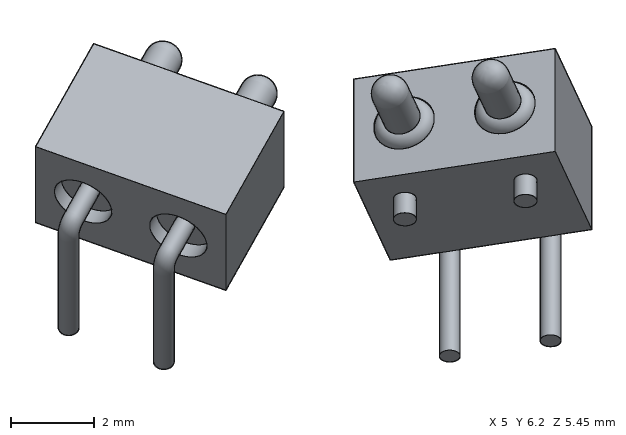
import cadquery as cq

contact_pitch = 2.5
housing_width = 2 * contact_pitch
housing_height = 3.0
housing_depth = 3.405
housing_front = 1.1
housing_back = housing_front + housing_depth
housing_bottom = -housing_height / 2

peg_diameter = 0.55
peg_length = 0.595
peg_pitch = 2.99
peg_y = 3.5

barrel_diameter = 1.5
barrel_recess = 0.4
barrel_protrusion = 0.2
barrel_rounding = 0.3
plunger_diameter = 0.905
plunger_tip_y = 6.2
plunger_rounding = 0.4
tail_diameter = 0.5
tail_radius = tail_diameter / 2
tail_inner_bend_radius = 0.003
tail_bend_radius = tail_radius + tail_inner_bend_radius
tail_bottom = -3.95

contact_positions = [-contact_pitch / 2, contact_pitch / 2]
peg_positions = [-peg_pitch / 2, peg_pitch / 2]


def rod_along_y(x, diameter, start, end):
    """Round bar on a contact axis, running in +Y from start to end."""
    plane = cq.Plane(origin=(x, start, 0), xDir=(1, 0, 0), normal=(0, 1, 0))
    return cq.Workplane(plane).circle(diameter / 2).extrude(end - start)


def make_housing():
    """Block with two through bores and two locating pegs."""
    body = cq.Workplane("XY").box(
        housing_width, housing_depth, housing_height, centered=(True, False, True)
    ).translate((0, housing_front, 0))
    for x in contact_positions:
        body = body.cut(rod_along_y(x, barrel_diameter, housing_front, housing_back))
    pegs = (
        cq.Workplane("XY", origin=(0, peg_y, housing_bottom))
        .pushPoints([(x, 0) for x in peg_positions])
        .circle(peg_diameter / 2)
        .extrude(-peg_length)
    )
    return body.union(pegs)


def make_tail(x, root_y):
    """Wire that leaves the barrel, turns down with an almost sharp inner corner and ends below."""
    bend_y = tail_radius + tail_bend_radius
    profile_plane = cq.Plane(origin=(x, tail_radius, tail_bottom), xDir=(1, 0, 0), normal=(0, 0, 1))
    path_plane = cq.Plane(origin=(x, 0, 0), xDir=(0, 1, 0), normal=(1, 0, 0))
    path = (
        cq.Workplane(path_plane)
        .moveTo(tail_radius, tail_bottom)
        .lineTo(tail_radius, -tail_bend_radius)
        .tangentArcPoint((bend_y, 0), relative=False)
        .lineTo(root_y, 0)
    )
    return cq.Workplane(profile_plane).circle(tail_radius).sweep(path)


def make_contact(x):
    """Barrel, plunger and bent tail as one solid."""
    barrel_front = housing_front + barrel_recess
    barrel_back = housing_back + barrel_protrusion
    barrel = rod_along_y(x, barrel_diameter, barrel_front, barrel_back)
    barrel = barrel.faces(">Y").edges().fillet(barrel_rounding)
    plunger = rod_along_y(x, plunger_diameter, barrel_front, plunger_tip_y)
    plunger = plunger.faces(">Y").edges().fillet(plunger_rounding)
    return barrel.union(plunger).union(make_tail(x, barrel_front))


housing = make_housing()
contacts = [make_contact(x) for x in contact_positions]
result = cq.Compound.makeCompound([housing.val(), *[contact.val() for contact in contacts]])